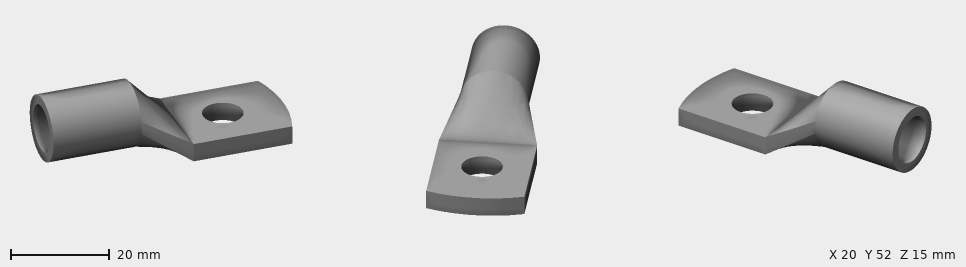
import cadquery as cq

length = 52.0
palm_width = 20.0
palm_thickness = 4.0

barrel_diameter = 14.0
bore_diameter = 10.0
barrel_length = 19.0
barrel_lift = 1.0
barrel_axis_z = barrel_lift + barrel_diameter / 2

neck_length = 10.1
palm_start = barrel_length + neck_length
end_arc_rise = 1.7
hole_diameter = 8.4
hole_y = 39.0


def y_plane(y, z=0):
    """Plane across the lug at the given Y, with its normal toward -Y."""
    return cq.Plane(origin=(0, y, z), xDir=(1, 0, 0), normal=(0, -1, 0))


def make_barrel():
    return (
        cq.Workplane(y_plane(barrel_length, barrel_axis_z))
        .circle(barrel_diameter / 2)
        .extrude(barrel_length)
    )


def make_neck():
    """Loft from the round barrel end to the rectangular palm end."""
    return (
        cq.Workplane(y_plane(palm_start, palm_thickness / 2))
        .rect(palm_width, palm_thickness)
        .workplane(offset=neck_length)
        .center(0, barrel_axis_z - palm_thickness / 2)
        .circle(barrel_diameter / 2)
        .loft()
    )


def make_palm():
    half_width = palm_width / 2
    corner_y = length - end_arc_rise
    return (
        cq.Workplane("XY")
        .moveTo(-half_width, palm_start)
        .lineTo(half_width, palm_start)
        .lineTo(half_width, corner_y)
        .threePointArc((0, length), (-half_width, corner_y))
        .close()
        .extrude(palm_thickness)
    )


def make_hole():
    return cq.Workplane("XY").center(0, hole_y).circle(hole_diameter / 2).extrude(palm_thickness)


def make_bore():
    """Blind bore ending where the neck begins."""
    return (
        cq.Workplane(y_plane(barrel_length, barrel_axis_z))
        .circle(bore_diameter / 2)
        .extrude(barrel_length)
    )


result = make_barrel().union(make_neck()).union(make_palm()).cut(make_hole()).cut(make_bore())